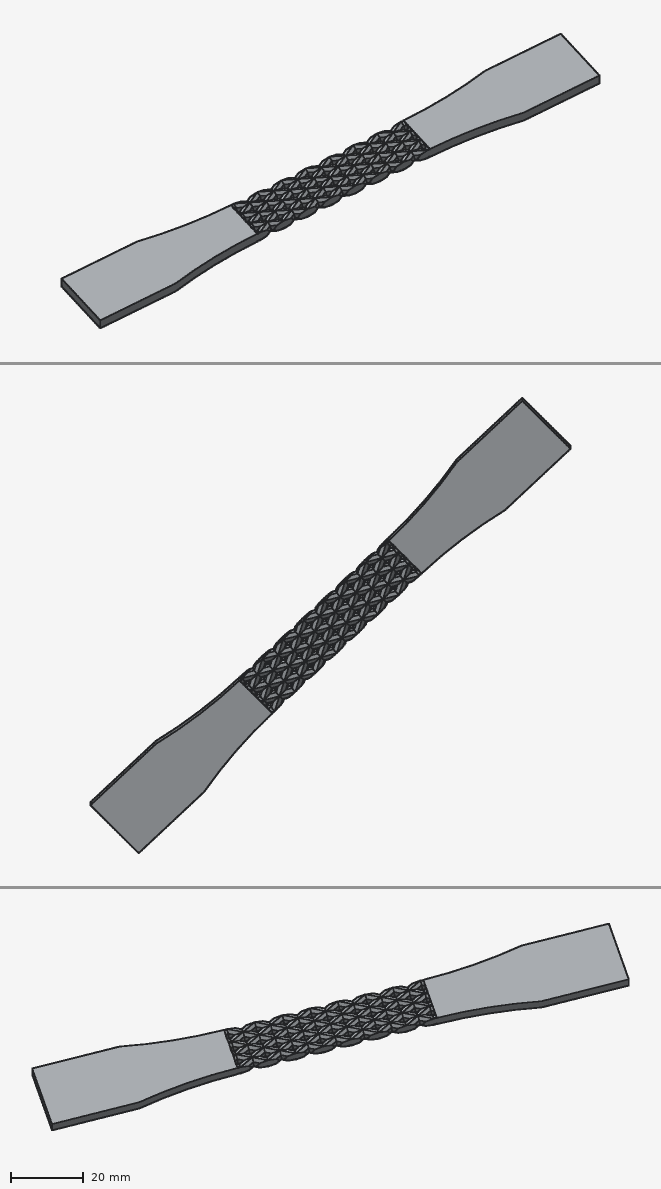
import cadquery as cq
import math

LENGTH = 165.0
GRIP_WIDTH = 19.0
THICKNESS = 3.2

GAUGE_WIDTH = 13.0
GAUGE_LENGTH = 57.0
SHOULDER_LENGTH = 29.0
SHOULDER_FLATS = 4

CELLS_ACROSS = 3
CELL_WIDTH = GAUGE_WIDTH / CELLS_ACROSS
CELL_LENGTH = 7.905
STRUT_SIDES = 8
STRUT_DIAMETER = THICKNESS
STRUT_LENGTH = 2 * CELLS_ACROSS * math.hypot(CELL_WIDTH, CELL_LENGTH)
STRUT_LEAN = math.atan2(CELL_WIDTH, CELL_LENGTH)


def shoulder_points():
    """Corners of one shoulder, equal flats whose corners lie on a circular arc."""
    rise = (GRIP_WIDTH - GAUGE_WIDTH) / 2
    radius = (SHOULDER_LENGTH**2 + rise**2) / (2 * rise)
    sweep = math.asin(SHOULDER_LENGTH / radius)
    points = []
    for i in range(SHOULDER_FLATS + 1):
        angle = sweep * i / SHOULDER_FLATS
        x = GAUGE_WIDTH / 2 + radius * (1 - math.cos(angle))
        y = GAUGE_LENGTH / 2 + radius * math.sin(angle)
        points.append((x, y))
    return points


def make_solid_end():
    """Shoulders and grip at the +Y end, mid-plane on Z = 0."""
    right_side = shoulder_points() + [(GRIP_WIDTH / 2, LENGTH / 2)]
    left_side = [(-x, y) for x, y in reversed(right_side)]
    outline = cq.Workplane("XY").polyline(right_side + left_side).close()
    return outline.extrude(THICKNESS / 2, both=True)


def make_strut():
    """Octagonal bar along Y through the origin, with corners pointing up and down."""
    section = cq.Workplane("XZ").polygon(STRUT_SIDES, STRUT_DIAMETER)
    return section.extrude(STRUT_LENGTH / 2, both=True)


def make_lattice():
    """Two crossing sets of parallel struts, trimmed to the box of the gauge section."""
    gauge = cq.Workplane("XY").box(GAUGE_WIDTH, GAUGE_LENGTH, THICKNESS)
    strut = make_strut()
    climb_to_edge = CELLS_ACROSS * CELL_LENGTH / 2
    half_strut_along_y = STRUT_DIAMETER / 2 / math.sin(STRUT_LEAN)
    last_step = math.floor((GAUGE_LENGTH / 2 + climb_to_edge + half_strut_along_y) / CELL_LENGTH)
    trimmed_struts = []
    for lean in (STRUT_LEAN, -STRUT_LEAN):
        leaning_strut = strut.rotate((0, 0, 0), (0, 0, 1), math.degrees(lean))
        for step in range(-last_step, last_step + 1):
            placed_strut = leaning_strut.translate((0, step * CELL_LENGTH, 0))
            trimmed_struts.append(placed_strut.intersect(gauge).val())
    return trimmed_struts[0].fuse(*trimmed_struts[1:])


upper_end = make_solid_end()
lower_end = upper_end.mirror("XZ")
result = cq.Workplane(make_lattice()).union(upper_end).union(lower_end)